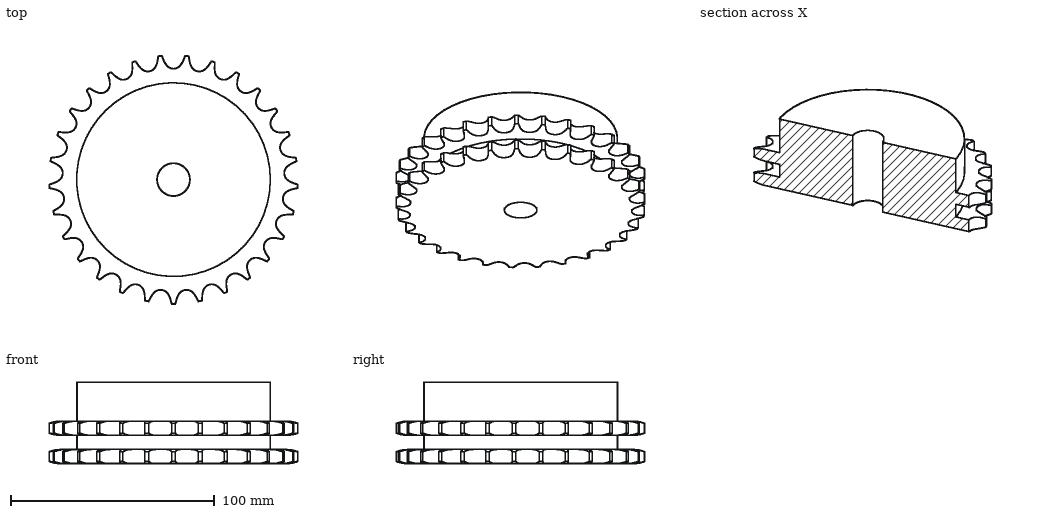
import cadquery as cq
import math

tooth_count = 29
pitch_radius = 58.8
tip_radius = 122.0 / 2
roller_diameter = 8.5

row_thickness = 7.0
row_spacing = 13.9
row_count = 2

rounding_start_radius = 55.3
rounding_depth = 1.1

hub_diameter = 95.0
bore_diameter = 16.0
total_height = 40.0

seat_end_slope = math.radians(35 + 60 / tooth_count)
working_arc_angle = math.radians(18 - 56 / tooth_count)
topping_angle = math.radians(17 - 64 / tooth_count)
working_centre_offset = 0.8 * roller_diameter
topping_centre_offset = 1.4 * roller_diameter
seat_radius = 0.505 * roller_diameter
working_radius = seat_radius + working_centre_offset
straight_length = (
    topping_centre_offset * math.sin(topping_angle) - working_centre_offset * math.sin(working_arc_angle)
)
topping_radius = (
    working_centre_offset * math.cos(working_arc_angle)
    + topping_centre_offset * math.cos(topping_angle)
    - working_radius
)
topping_arc_angle = math.radians(20)


def offset(point, distance, angle):
    return (point[0] + distance * math.cos(angle), point[1] + distance * math.sin(angle))


def mirrored(point):
    return (-point[0], point[1])


def cylinder(diameter, height):
    return cq.Workplane("XY").circle(diameter / 2).extrude(height)


def gap_cutter():
    """One tooth gap at +Y: roller seat, then on each side a concave arc, a line and a convex arc."""
    seat_centre = (0, pitch_radius)
    seat_bottom = (0, pitch_radius - seat_radius)
    seat_end = offset(seat_centre, seat_radius, -seat_end_slope)

    working_centre = offset(seat_centre, -working_centre_offset, -seat_end_slope)
    working_middle = offset(working_centre, working_radius, working_arc_angle / 2 - seat_end_slope)
    line_slope = working_arc_angle - seat_end_slope
    working_end = offset(working_centre, working_radius, line_slope)

    line_end = offset(working_end, straight_length, line_slope + math.pi / 2)
    topping_centre = offset(line_end, topping_radius, line_slope)
    topping_middle = offset(topping_centre, -topping_radius, line_slope - topping_arc_angle / 2)
    topping_end = offset(topping_centre, -topping_radius, line_slope - topping_arc_angle)

    return (
        cq.Workplane("XY")
        .moveTo(*mirrored(seat_end))
        .threePointArc(seat_bottom, seat_end)
        .threePointArc(working_middle, working_end)
        .lineTo(*line_end)
        .threePointArc(topping_middle, topping_end)
        .lineTo(*mirrored(topping_end))
        .threePointArc(mirrored(topping_middle), mirrored(line_end))
        .lineTo(*mirrored(working_end))
        .threePointArc(mirrored(working_middle), mirrored(seat_end))
        .close()
        .extrude(row_thickness)
    )


def row_blank():
    """Disc whose two faces curve towards each other outside the rounding start radius."""
    run = tip_radius - rounding_start_radius
    side_radius = (run**2 + rounding_depth**2) / (2 * rounding_depth)
    half_turn = math.asin(run / side_radius) / 2
    middle_radius = rounding_start_radius + side_radius * math.sin(half_turn)
    middle_depth = side_radius * (1 - math.cos(half_turn))
    return (
        cq.Workplane("XZ")
        .lineTo(rounding_start_radius, 0)
        .threePointArc((middle_radius, middle_depth), (tip_radius, rounding_depth))
        .lineTo(tip_radius, row_thickness - rounding_depth)
        .threePointArc((middle_radius, row_thickness - middle_depth), (rounding_start_radius, row_thickness))
        .lineTo(0, row_thickness)
        .close()
        .revolve(360, (0, 0, 0), (0, 1, 0))
    )


def tooth_row():
    row = row_blank()
    gap = gap_cutter()
    for index in range(tooth_count):
        row = row.cut(gap.rotate((0, 0, 0), (0, 0, 1), index * 360 / tooth_count))
    return row


sprocket = cylinder(hub_diameter, total_height)
row = tooth_row()
for index in range(row_count):
    sprocket = sprocket.union(row.translate((0, 0, index * row_spacing)))

result = sprocket.cut(cylinder(bore_diameter, total_height))